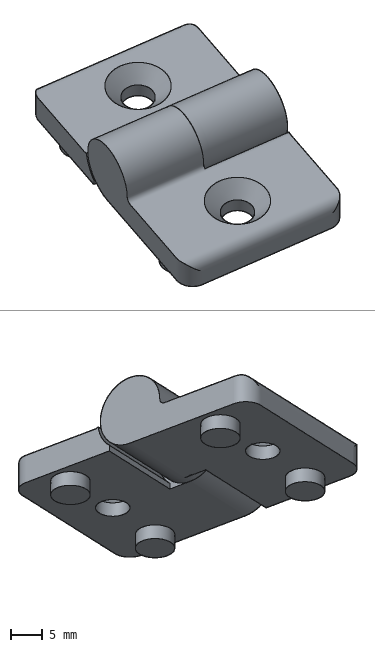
import cadquery as cq
import math

hinge_length = 48.0
hinge_width = 30.0
leaf_thickness = 5.0
half_length = hinge_length / 2
half_width = hinge_width / 2

corner_radius = 3.0
top_edge_radius = 2.0

knuckle_radius = 6.0
root_fillet_radius = 1.0
clearance_radius = 6.5
relief_edge_x = 4.2
ring_width = 1.45
half_ring = ring_width / 2

hole_x = 15.1
hole_diameter = 5.45
countersink_diameter = 10.55
countersink_angle = 90.0

peg_diameter = 6.3
peg_height = 2.5
peg_y = 11.0


def extruded_along_y(profile, y_start, y_end):
    """Extrude an XZ profile, drawn at Y = 0, between two Y positions."""
    return profile.extrude(y_start - y_end).translate((0, y_start, 0))


def leaf_plate():
    """Plate with its knuckle root fillet and rounded outer edge."""
    fillet_center_x = math.sqrt(
        (knuckle_radius + root_fillet_radius) ** 2
        - (leaf_thickness + root_fillet_radius - knuckle_radius) ** 2
    )
    fillet_center_z = leaf_thickness + root_fillet_radius
    touch_ratio = knuckle_radius / (knuckle_radius + root_fillet_radius)
    touch_x = -fillet_center_x * touch_ratio
    touch_z = knuckle_radius + (fillet_center_z - knuckle_radius) * touch_ratio
    diagonal = root_fillet_radius * math.sqrt(0.5)
    profile = (
        cq.Workplane("XZ")
        .moveTo(-half_length, 0)
        .lineTo(0, 0)
        .lineTo(0, knuckle_radius)
        .lineTo(touch_x, touch_z)
        .threePointArc(
            (-fillet_center_x + diagonal, fillet_center_z - diagonal),
            (-fillet_center_x, leaf_thickness),
        )
        .lineTo(-half_length, leaf_thickness)
        .close()
    )
    plate = extruded_along_y(profile, -half_width, half_width)
    rounded_outline = (
        cq.Workplane("XY")
        .rect(hinge_length, hinge_width)
        .extrude(knuckle_radius + root_fillet_radius)
        .edges("|Z")
        .fillet(corner_radius)
    )
    plate = plate.faces("<X").edges(">Z").fillet(top_edge_radius)
    return plate.intersect(rounded_outline)


def knuckle_relief():
    """Space in the front half that clears the other leaf and its knuckle."""
    y_start = -half_width
    y_end = half_ring
    around_knuckle = extruded_along_y(
        cq.Workplane("XZ").center(0, knuckle_radius).circle(clearance_radius), y_start, y_end
    )
    below_knuckle = cq.Workplane("XY").box(
        relief_edge_x, y_end - y_start, knuckle_radius, centered=False
    ).translate((-relief_edge_x, y_start, 0))
    return around_knuckle.union(below_knuckle)


def screw_hole(leaf_body):
    """Countersink the screw hole from the top of the leaf."""
    return (
        leaf_body.copyWorkplane(cq.Workplane("XY", origin=(-hole_x, 0, leaf_thickness)))
        .cskHole(hole_diameter, countersink_diameter, countersink_angle)
    )


def pegs():
    return (
        cq.Workplane("XY")
        .pushPoints([(-hole_x, -peg_y), (-hole_x, peg_y)])
        .circle(peg_diameter / 2)
        .extrude(-peg_height)
    )


def knuckle(y_start, y_end):
    circle = cq.Workplane("XZ").center(0, knuckle_radius).circle(knuckle_radius)
    return extruded_along_y(circle, y_start, y_end)


def leaf(knuckle_start):
    """Leaf on the -X side whose knuckle runs from knuckle_start to the rear edge."""
    body = screw_hole(leaf_plate().cut(knuckle_relief()))
    body = body.union(knuckle(half_ring, half_width))
    if knuckle_start < half_ring:
        body = body.union(knuckle(knuckle_start, half_ring), clean=False)
    return body.union(pegs(), clean=False)


left_leaf = leaf(-half_ring)
right_leaf = leaf(half_ring).rotate((0, 0, 0), (0, 0, 1), 180)

result = cq.Compound.makeCompound([left_leaf.val(), right_leaf.val()])